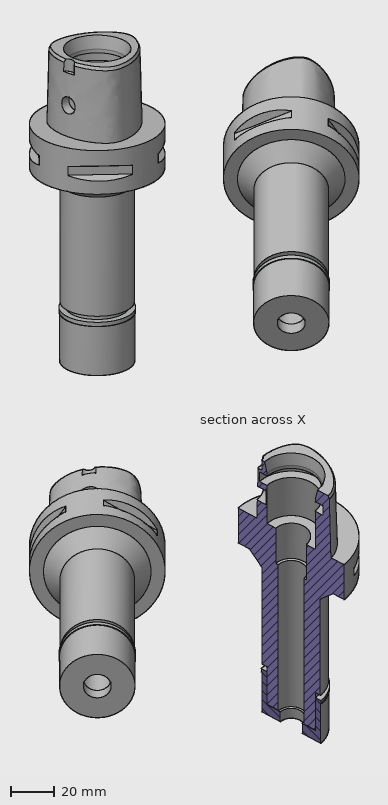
import cadquery as cq
import math

TOTAL_HEIGHT = 158.0
FLANGE_TOP = 120.1
FLANGE_BOTTOM = 98.0
SHANK_TOP = 90.4
SHANK_BOTTOM = 30.0
NUT_TOP = 27.2
COLLAR_BOTTOM = 25.0

FLANGE_RADIUS = 63.0 / 2
CONE_RADIUS = 25.0
SHANK_RADIUS = 17.4
NECK_RADIUS = 14.5
NUT_RADIUS = 17.5
COLLAR_RADIUS = 17.9

LOBE_BASE_RADIUS = 22.1
LOBE_HEIGHT = 1.6
LOBE_COUNT = 3
LOBE_POINTS = 36
TAPER_SLOPE = 1 / 40
RIM_HEIGHT = 1.6
RIM_INSET = 0.8

SOCKET_MOUTH_RADIUS = 15.6
SOCKET_RADIUS = 14.2
SOCKET_CONE_DEPTH = 6.5
GROOVE_RADIUS = 18.6
GROOVE_TOP_DEPTH = 8.4
GROOVE_BOTTOM_DEPTH = 14.0
UPPER_BORE_RADIUS = 9.0
LOWER_BORE_RADIUS = 7.6
NUT_BORE_RADIUS = 6.5
NECK_BOTTOM = 6.3

KEYWAY_RADIUS = 3.6
KEYWAY_OFFSET = 21.2
KEYWAY_DEPTH = 6.2
SIDE_HOLE_RADIUS = 8.4 / 2
SIDE_HOLE_Z = 135.7
SIDE_HOLE_FLOOR = 15.0

SLOT_COUNT = 4
SLOT_Z = 108.4
SLOT_LENGTH = 30.0
SLOT_FLOOR_HEIGHT = 4.5
SLOT_FLARE = 1.6
SLOT_FLOOR = 27.5


def lobed_wire(z, mean_radius):
    """Constant-width lobed outline with one lobe pointing along +Y."""
    points = []
    for i in range(LOBE_POINTS):
        turn = 2 * math.pi * i / LOBE_POINTS
        reach = mean_radius + LOBE_HEIGHT * math.cos(LOBE_COUNT * turn)
        rate = -LOBE_COUNT * LOBE_HEIGHT * math.sin(LOBE_COUNT * turn)
        along = reach * math.cos(turn) - rate * math.sin(turn)
        across = reach * math.sin(turn) + rate * math.cos(turn)
        points.append(cq.Vector(-across, along, z))
    return cq.Wire.assembleEdges([cq.Edge.makeSpline(points, periodic=True)])


def make_coupling():
    rim_bottom = TOTAL_HEIGHT - RIM_HEIGHT
    rim_radius = LOBE_BASE_RADIUS - TAPER_SLOPE * (rim_bottom - FLANGE_TOP)
    base_wire = lobed_wire(FLANGE_TOP, LOBE_BASE_RADIUS)
    rim_wire = lobed_wire(rim_bottom, rim_radius)
    top_wire = lobed_wire(TOTAL_HEIGHT, rim_radius - RIM_INSET)
    taper = cq.Workplane(cq.Solid.makeLoft([base_wire, rim_wire], True))
    rim = cq.Workplane(cq.Solid.makeLoft([rim_wire, top_wire], True))
    return taper.union(rim)


def make_turned_body():
    profile = [
        (0, NECK_BOTTOM),
        (NECK_RADIUS, NECK_BOTTOM),
        (NECK_RADIUS, SHANK_BOTTOM),
        (SHANK_RADIUS, SHANK_BOTTOM),
        (SHANK_RADIUS, SHANK_TOP),
        (CONE_RADIUS, FLANGE_BOTTOM),
        (FLANGE_RADIUS, FLANGE_BOTTOM),
        (FLANGE_RADIUS, FLANGE_TOP),
        (0, FLANGE_TOP),
    ]
    return cq.Workplane("XZ").polyline(profile).close().revolve(360, (0, 0), (0, 1))


def make_bore():
    groove_top = TOTAL_HEIGHT - GROOVE_TOP_DEPTH
    groove_bottom = TOTAL_HEIGHT - GROOVE_BOTTOM_DEPTH
    profile = [
        (0, NECK_BOTTOM),
        (LOWER_BORE_RADIUS, NECK_BOTTOM),
        (LOWER_BORE_RADIUS, FLANGE_BOTTOM),
        (UPPER_BORE_RADIUS, FLANGE_BOTTOM),
        (UPPER_BORE_RADIUS, FLANGE_TOP),
        (SOCKET_RADIUS, FLANGE_TOP),
        (SOCKET_RADIUS, groove_bottom),
        (GROOVE_RADIUS, groove_bottom),
        (GROOVE_RADIUS, groove_top),
        (SOCKET_RADIUS, groove_top),
        (SOCKET_RADIUS, TOTAL_HEIGHT - SOCKET_CONE_DEPTH),
        (SOCKET_MOUTH_RADIUS, TOTAL_HEIGHT),
        (0, TOTAL_HEIGHT),
    ]
    return cq.Workplane("XZ").polyline(profile).close().revolve(360, (0, 0), (0, 1))


def make_keyway():
    keyway_floor = cq.Workplane("XY").workplane(offset=TOTAL_HEIGHT - KEYWAY_DEPTH)
    return keyway_floor.center(0, -KEYWAY_OFFSET).circle(KEYWAY_RADIUS).extrude(KEYWAY_DEPTH)


def make_side_hole():
    hole_floor = cq.Workplane("XZ").workplane(offset=SIDE_HOLE_FLOOR)
    hole_length = FLANGE_RADIUS - SIDE_HOLE_FLOOR
    return hole_floor.center(0, SIDE_HOLE_Z).circle(SIDE_HOLE_RADIUS).extrude(hole_length)


def make_gripper_slot(angle):
    """Slot with a flat floor and flared sides, cut square to the given direction."""
    floor_half = SLOT_FLOOR_HEIGHT / 2
    mouth_half = floor_half + SLOT_FLARE
    section = [
        (SLOT_FLOOR, SLOT_Z - floor_half),
        (FLANGE_RADIUS, SLOT_Z - mouth_half),
        (FLANGE_RADIUS, SLOT_Z + mouth_half),
        (SLOT_FLOOR, SLOT_Z + floor_half),
    ]
    slot = cq.Workplane("XZ").polyline(section).close().extrude(SLOT_LENGTH / 2, both=True)
    return slot.rotate((0, 0, 0), (0, 0, 1), angle)


def make_holder():
    holder = make_turned_body().union(make_coupling()).cut(make_bore())
    holder = holder.cut(make_keyway()).cut(make_side_hole())
    slot_spacing = 360 / SLOT_COUNT
    for i in range(SLOT_COUNT):
        holder = holder.cut(make_gripper_slot((i + 0.5) * slot_spacing))
    return holder


def make_nut():
    """Clamping nut with a collar at its top, recessed to take the holder's neck."""
    profile = [
        (NUT_BORE_RADIUS, 0),
        (NUT_RADIUS, 0),
        (NUT_RADIUS, COLLAR_BOTTOM),
        (COLLAR_RADIUS, COLLAR_BOTTOM),
        (COLLAR_RADIUS, NUT_TOP),
        (NECK_RADIUS, NUT_TOP),
        (NECK_RADIUS, NECK_BOTTOM),
        (NUT_BORE_RADIUS, NECK_BOTTOM),
    ]
    return cq.Workplane("XZ").polyline(profile).close().revolve(360, (0, 0), (0, 1))


holder = make_holder()
nut = make_nut()
result = cq.Compound.makeCompound([holder.val(), nut.val()])